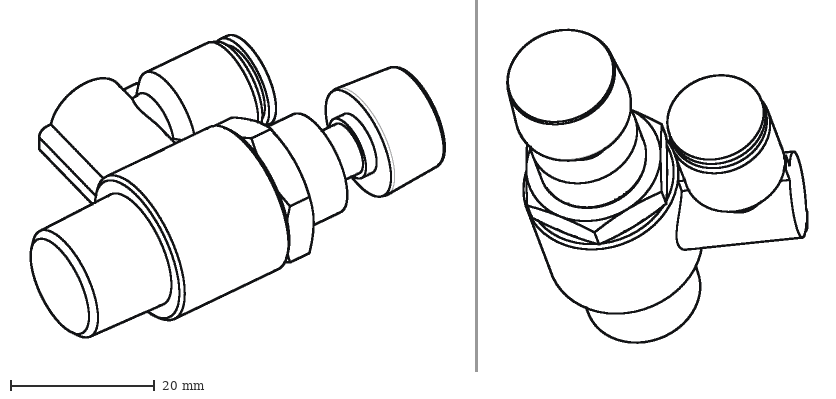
import cadquery as cq
import math

body_d = 22.0
body_start = 13.05
body_end = 31.55
body_chamfer = 0.55

thread_tip_d = 16.25
thread_root_d = 17.0
thread_chamfer = 0.9

nut_end = 36.3
nut_flats = 19.05
nut_bevel = 0.7

collar_d = 15.2
collar_neck_d = 14.8
collar_start = 36.75
collar_end = 43.3

stem_d = 7.6
shoulder_d = 9.1
shoulder_start = 48.5

knob_start = 50.3
knob_end = 59.8
knob_base_d = 16.45
knob_top_d = 15.3
knob_base_edge_length = 0.55
knob_base_edge_depth = 0.1
knob_top_edge_length = 0.35
knob_top_edge_depth = 0.2

branch_d = 12.1
branch_y = (body_start + body_end) / 2
overall_width = 37.25
branch_end_x = body_d / 2 - overall_width
rib_thickness = 2.35
rib_start = body_start + body_chamfer
rib_end = 30.9
rib_corner_length = 1.2
rib_corner_height = 2.35

fitting_d = 14.3
fitting_inset = 0.1
fitting_x = branch_end_x + fitting_inset + fitting_d / 2
fitting_start = 31.0
fitting_end = 42.4
fitting_round_length = 0.9
fitting_round_depth = 0.3
neck_top_y = 28.9
neck_top_d = 9.7
neck_bottom_y = 26.3
neck_bottom_d = 8.95
groove_d = 11.6
release_ring_d = 13.7
release_ring_start = 43.5
release_ring_end = 44.7


def disc(start, end, diameter, end_diameter=None):
    """Cylinder or cone along the main axis from Y = start to Y = end."""
    radius = diameter / 2
    end_radius = radius if end_diameter is None else end_diameter / 2
    outline = [(0, start), (radius, start), (end_radius, end), (0, end)]
    return cq.Workplane("XY").polyline(outline).close().revolve(360, (0, 0, 0), (0, 1, 0))


def make_nut():
    """Hexagon with corners up and down, both faces bevelled by a cone."""
    half_sector = 30
    corner_d = nut_flats / math.cos(math.radians(half_sector))
    hexagon = (
        cq.Workplane("XZ", origin=(0, body_end, 0))
        .transformed(rotate=(0, 0, half_sector))
        .polygon(6, corner_d)
        .extrude(body_end - nut_end)
    )
    bevel = disc(body_end, body_end + nut_bevel, nut_flats, corner_d)
    bevel = bevel.union(disc(body_end + nut_bevel, nut_end - nut_bevel, corner_d))
    bevel = bevel.union(disc(nut_end - nut_bevel, nut_end, corner_d, nut_flats))
    return hexagon.intersect(bevel)


def make_body():
    thread = disc(0, body_start, thread_tip_d, thread_root_d).faces("<Y").chamfer(thread_chamfer)
    barrel = disc(body_start, body_end, body_d).faces("<Y or >Y").chamfer(body_chamfer)
    collar_neck = disc(nut_end, collar_start, collar_neck_d)
    collar = disc(collar_start, collar_end, collar_d)
    return thread.union(barrel).union(make_nut()).union(collar_neck).union(collar)


def make_knob():
    stem = disc(collar_end, shoulder_start, stem_d)
    shoulder = disc(shoulder_start, knob_start, shoulder_d)
    grip_start = knob_start + knob_base_edge_length
    grip_end = knob_end - knob_top_edge_length
    base_edge = disc(knob_start, grip_start, knob_base_d - 2 * knob_base_edge_depth, knob_base_d)
    grip = disc(grip_start, grip_end, knob_base_d, knob_top_d)
    top_edge = disc(grip_end, knob_end, knob_top_d, knob_top_d - 2 * knob_top_edge_depth)
    return stem.union(shoulder).union(base_edge).union(grip).union(top_edge)


def make_branch():
    arm = (
        cq.Workplane("YZ", origin=(branch_end_x, branch_y, 0))
        .circle(branch_d / 2)
        .extrude(-branch_end_x)
    )
    rib = (
        cq.Workplane("XY", origin=(0, 0, -rib_thickness / 2))
        .moveTo(0, rib_start)
        .lineTo(0, rib_end)
        .lineTo(branch_end_x, rib_end)
        .lineTo(branch_end_x, rib_start + rib_corner_height)
        .tangentArcPoint((branch_end_x + rib_corner_length, rib_start), relative=False)
        .close()
        .extrude(rib_thickness)
    )
    return arm.union(rib)


def make_fitting():
    neck = disc(branch_y, neck_bottom_y, neck_bottom_d)
    neck = neck.union(disc(neck_bottom_y, neck_top_y, neck_bottom_d, neck_top_d))
    flare = disc(neck_top_y, fitting_start, neck_top_d, fitting_d)
    sleeve = disc(fitting_start, fitting_end, fitting_d)
    sleeve = sleeve.faces(">Y").chamfer(fitting_round_length, fitting_round_depth)
    groove = disc(fitting_end, release_ring_start, groove_d)
    ring = disc(release_ring_start, release_ring_end, release_ring_d)
    fitting = neck.union(flare).union(sleeve).union(groove).union(ring)
    return fitting.translate((fitting_x, 0, 0))


result = make_body().union(make_knob()).union(make_branch()).union(make_fitting())